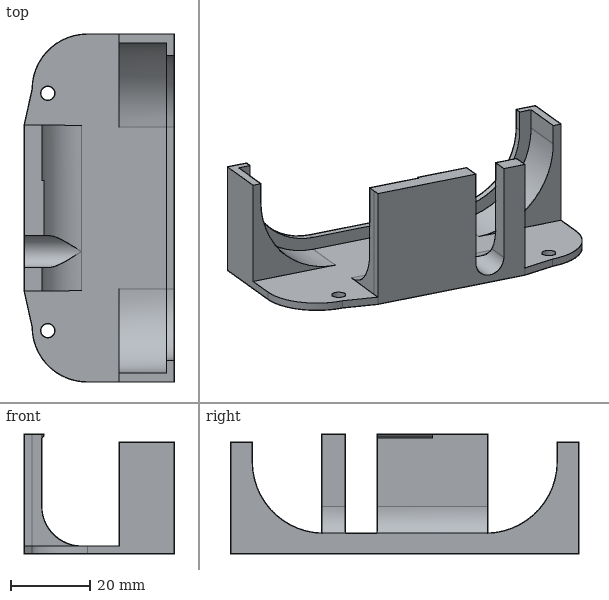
import cadquery as cq
import math

length_x = 38.0
width_y = 88.0
plate_thickness = 2.0
corner_radius = 14.0
corner_inset = 2.0

hole_diameter = 3.5
hole_x = 6.0
left_hole_y = 29.0
right_hole_y = -31.0

wall_width = 42.0
wall_thickness = 4.5
wall_top = 30.25
foot_radius = 10.0
straight_side_depth = 2.0
end_taper = 0.12

slot_width = 8.0
slot_center_y = -11.0

lip_reach = 0.5
lip_length = 14.0
lip_height = 0.5

cradle_top = 28.25
cradle_depth = 14.0
cradle_wall = 2.25
cradle_radius = 21.25
rim_thickness = 2.0
rim_height = 3.25


def make_plate():
    half_width = width_y / 2
    half_wall = wall_width / 2
    arc_x = corner_inset + corner_radius
    arc_y = half_width - corner_radius
    arc_reach = corner_radius * math.sqrt(0.5)
    outline = (
        cq.Workplane("XY")
        .moveTo(length_x, -half_width)
        .lineTo(length_x, half_width)
        .lineTo(arc_x, half_width)
        .threePointArc((arc_x - arc_reach, arc_y + arc_reach), (corner_inset, arc_y))
        .lineTo(0, half_wall)
        .lineTo(0, -half_wall)
        .lineTo(corner_inset, -arc_y)
        .threePointArc((arc_x - arc_reach, -arc_y - arc_reach), (arc_x, -half_width))
        .close()
    )
    return outline.extrude(plate_thickness)


def make_wall():
    """Upright wall whose rear face sweeps into the plate, with tapered ends."""
    foot_end = wall_thickness + foot_radius
    foot_top = plate_thickness + foot_radius
    arc_offset = foot_radius * (1 - math.sqrt(0.5))
    profile = (
        cq.Workplane("XZ")
        .moveTo(0, 0)
        .lineTo(foot_end, 0)
        .lineTo(foot_end, plate_thickness)
        .threePointArc(
            (wall_thickness + arc_offset, plate_thickness + arc_offset),
            (wall_thickness, foot_top),
        )
        .lineTo(wall_thickness, wall_top)
        .lineTo(0, wall_top)
        .close()
        .extrude(wall_width / 2, both=True)
    )
    half_wall = wall_width / 2
    half_rear = half_wall - end_taper
    footprint = (
        cq.Workplane("XY")
        .polyline([
            (0, -half_wall),
            (straight_side_depth, -half_wall),
            (foot_end, -half_rear),
            (foot_end, half_rear),
            (straight_side_depth, half_wall),
            (0, half_wall),
        ])
        .close()
        .extrude(wall_top)
    )
    return profile.intersect(footprint)


def make_snap_lip():
    """Small ridge on the rear of the wall top, sloped underneath."""
    lip_bottom = wall_top - lip_height
    return (
        cq.Workplane("XZ")
        .polyline([
            (0, wall_top),
            (wall_thickness + lip_reach, wall_top),
            (wall_thickness + lip_reach, lip_bottom),
            (wall_thickness, lip_bottom - lip_reach),
            (0, lip_bottom - lip_reach),
        ])
        .close()
        .extrude(lip_length / 2, both=True)
    )


def make_slot_cutter():
    """Round-bottomed slot, open at the top and tangent to the plate surface."""
    slot_radius = slot_width / 2
    slot_axis_z = plate_thickness + slot_radius
    slot_depth_x = wall_thickness + foot_radius
    round_bottom = (
        cq.Workplane("YZ")
        .center(slot_center_y, slot_axis_z)
        .circle(slot_radius)
        .extrude(slot_depth_x)
    )
    straight_part = cq.Workplane("XY").box(
        slot_depth_x, slot_width, wall_top - slot_axis_z, centered=(False, True, False)
    ).translate((0, slot_center_y, slot_axis_z))
    return round_bottom.union(straight_part)


def make_trough(inset, depth):
    """U-shaped opening along X, set in from the cavity surface by the given inset."""
    half_opening = width_y / 2 - cradle_wall - inset
    radius = cradle_radius - inset
    floor_z = plate_thickness + inset
    return (
        cq.Workplane("XY")
        .box(depth, 2 * half_opening, cradle_top, centered=(False, True, False))
        .edges("|X and <Z")
        .fillet(radius)
        .translate((length_x - cradle_depth, 0, floor_z))
    )


def make_cradle():
    block = (
        cq.Workplane("XY")
        .box(cradle_depth, width_y, cradle_top, centered=(False, True, False))
        .translate((length_x - cradle_depth, 0, 0))
    )
    cavity = make_trough(0, cradle_depth - rim_thickness)
    rim_opening = make_trough(rim_height, cradle_depth)
    return block.cut(cavity).cut(rim_opening)


def make_hole_cutter():
    return (
        cq.Workplane("XY")
        .pushPoints([(hole_x, right_hole_y), (hole_x, left_hole_y)])
        .circle(hole_diameter / 2)
        .extrude(plate_thickness)
    )


front_wall = make_wall().union(make_snap_lip()).cut(make_slot_cutter())
result = make_plate().cut(make_hole_cutter()).union(make_cradle()).union(front_wall)